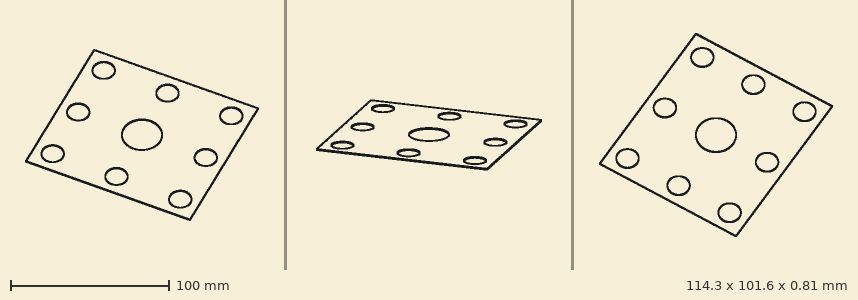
import cadquery as cq

length = 114.3
width = 101.6
thickness = 0.81

center_hole_diameter = 25.4
outer_hole_diameter = 14.2
hole_pitch_x = 44.5
hole_pitch_y = 38.1

outer_hole_centers = [
    (column * hole_pitch_x, row * hole_pitch_y)
    for column in (-1, 0, 1)
    for row in (-1, 0, 1)
    if (column, row) != (0, 0)
]

plate = cq.Workplane("XY").box(length, width, thickness)
plate = plate.faces(">Z").workplane().hole(center_hole_diameter)
result = plate.faces(">Z").workplane().pushPoints(outer_hole_centers).hole(outer_hole_diameter)